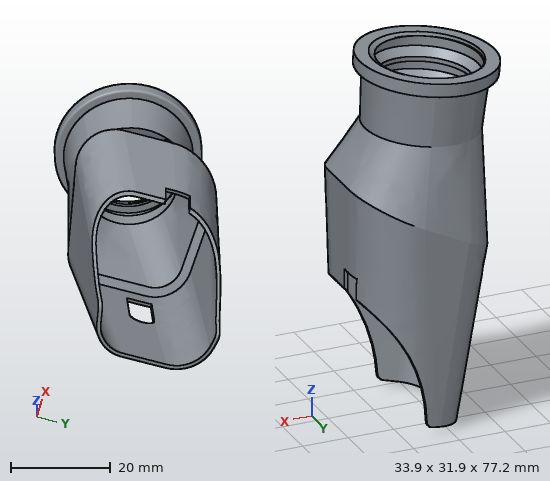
import cadquery as cq
import math


NECK_TILT = 5.2
COLLAR_DIAMETER = 29.6
COLLAR_HEIGHT = 3.05
COLLAR_FILLET = 0.5
NECK_TOP_RADIUS = 13.05
NECK_BOTTOM_RADIUS = 12.35
NECK_DEPTH = 14.8

BORE_RADIUS = 20 / 2
GROOVE_RADIUS = 11.5
GROOVE_1_TOP = 0.8
GROOVE_1_BOTTOM = 4.7
GROOVE_2_TOP = 5.7
GROOVE_2_BOTTOM = 9.8
GROOVE_CONE_HEIGHT = 1.8
LIP_RADIUS = 9.6
LIP_THICKNESS = 0.4
ENTRY_TOP_RADIUS = 11.8
ENTRY_BOTTOM_RADIUS = 11.1
ENTRY_BOTTOM_OFFSET = (-0.7, -0.2)

LOWER_WALL = 0.8
UPPER_WALL = 2.7
UPPER_TILT = 27.3
UPPER_EDGE_Z = -39.4
UPPER_CORNERS = [(18.82, 16.75), (-9.6, 14.1), (-9.6, -10.2), (18.82, -15.8)]
LOWER_TILT = 11.9
LOWER_EDGE_Z = -75.9
LOWER_CORNERS = [(19.45, 20.0), (-2.0, 15.2), (-2.0, -6.5), (19.5, -10.7)]
CORNER_RADII = [12.0, 8.3, 6.9, 7.8]
NECK_SEAM_ANGLE = 30.5
ARC_COUNT = 8
ARC_STEP = 360 / ARC_COUNT

CUT_FOOT = (7.45, -73.1)
CUT_HEAD = (19.15, -47.3)
TOE_FILLET = 1.3

SLOT_WIDTH = 5.2
SLOT_CENTRE_Y = 4.8
SLOT_TOP = -43.0
SLOT_BOTTOM = -54.7

CLEARANCE = 60.0


def tilted_plane(origin, tilt):
    angle = math.radians(tilt)
    x_dir = (math.cos(angle), 0, math.sin(angle))
    normal = (-math.sin(angle), 0, math.cos(angle))
    return cq.Plane(origin=origin, xDir=x_dir, normal=normal)


def neck_plane(depth):
    angle = math.radians(NECK_TILT)
    return tilted_plane((depth * math.sin(angle), 0, -depth * math.cos(angle)), NECK_TILT)


def arc_wire(plane, radius):
    """Circle split into eight arcs that pair with the eight edges of a body section."""
    def point(degrees):
        angle = math.radians(degrees)
        return plane.toWorldCoords((radius * math.cos(angle), radius * math.sin(angle), 0))

    starts = [NECK_SEAM_ANGLE + ARC_STEP * i for i in range(ARC_COUNT)]
    arcs = [cq.Edge.makeThreePointArc(point(a), point(a + ARC_STEP / 2), point(a + ARC_STEP)) for a in starts]
    return cq.Wire.assembleEdges(arcs)


def section_wire(corners, tilt, edge_z, inset):
    """Rounded four-sided loop on a tilted plane; corners are given in plan (X, Y).

    The inset moves the sides inward in the tilted plane.
    """
    edge_x = corners[1][0]
    plane = tilted_plane((edge_x, 0, edge_z), tilt)
    stretch = 1 / math.cos(math.radians(tilt))
    points = [cq.Vector((x - edge_x) * stretch, y, 0) for x, y in corners]
    count = len(points)
    sides = [(points[(i + 1) % count] - points[i]).normalized() for i in range(count)]
    joints = []
    for i, radius in enumerate(CORNER_RADII):
        incoming = sides[i - 1]
        outgoing = sides[i]
        half_turn = incoming.getAngle(outgoing) / 2
        bisector = (outgoing - incoming).normalized()
        corner = points[i] + bisector * (inset / math.cos(half_turn))
        round_radius = radius - inset
        setback = round_radius * math.tan(half_turn)
        sagitta_point = corner + bisector * (round_radius / math.cos(half_turn) - round_radius)
        joints.append((corner - incoming * setback, sagitta_point, corner + outgoing * setback))
    edges = []
    for i, (start, middle, end) in enumerate(joints):
        next_start = joints[(i + 1) % count][0]
        world = [plane.toWorldCoords(p) for p in (start, middle, end, next_start)]
        edges.append(cq.Edge.makeThreePointArc(*world[:3]))
        edges.append(cq.Edge.makeLine(*world[2:]))
    return cq.Wire.assembleEdges(edges)


def ruled(first, second):
    return cq.Workplane(obj=cq.Solid.makeLoft([first, second], True))


def upper_section(inset):
    return section_wire(UPPER_CORNERS, UPPER_TILT, UPPER_EDGE_Z, inset)


def make_transition(neck_radius, inset):
    """Blend from a circle at the neck bottom to the upper section of the body."""
    return ruled(arc_wire(neck_plane(NECK_DEPTH), neck_radius), upper_section(inset))


def make_body(inset):
    """Tapered length between the upper and lower sections."""
    lower = section_wire(LOWER_CORNERS, LOWER_TILT, LOWER_EDGE_Z, inset)
    return ruled(upper_section(inset), lower)


def make_neck():
    collar = cq.Workplane(neck_plane(COLLAR_HEIGHT)).circle(COLLAR_DIAMETER / 2).extrude(COLLAR_HEIGHT)
    collar = collar.faces("<Z").edges().fillet(COLLAR_FILLET)
    top = arc_wire(neck_plane(COLLAR_HEIGHT - COLLAR_FILLET), NECK_TOP_RADIUS)
    bottom = arc_wire(neck_plane(NECK_DEPTH), NECK_BOTTOM_RADIUS)
    return collar.union(ruled(top, bottom))


def make_bore():
    outline = [
        (0, 0),
        (BORE_RADIUS, 0),
        (BORE_RADIUS, -GROOVE_1_TOP),
        (GROOVE_RADIUS, -GROOVE_1_TOP),
        (GROOVE_RADIUS, -GROOVE_1_BOTTOM + GROOVE_CONE_HEIGHT),
        (BORE_RADIUS, -GROOVE_1_BOTTOM),
        (BORE_RADIUS, -GROOVE_2_TOP),
        (GROOVE_RADIUS, -GROOVE_2_TOP),
        (GROOVE_RADIUS, -GROOVE_2_BOTTOM + GROOVE_CONE_HEIGHT),
        (BORE_RADIUS, -GROOVE_2_BOTTOM),
        (BORE_RADIUS, -NECK_DEPTH + LIP_THICKNESS),
        (LIP_RADIUS, -NECK_DEPTH + LIP_THICKNESS),
        (LIP_RADIUS, -NECK_DEPTH),
        (0, -NECK_DEPTH),
    ]
    section = neck_plane(0).rotated((90, 0, 0))
    bore = cq.Workplane(section).polyline(outline).close().revolve(360, (0, 0), (0, 1))
    entry = (
        cq.Workplane(neck_plane(0)).circle(ENTRY_TOP_RADIUS)
        .workplane(offset=-GROOVE_1_TOP).center(*ENTRY_BOTTOM_OFFSET).circle(ENTRY_BOTTOM_RADIUS)
        .loft(ruled=True)
    )
    return bore.union(entry)


def make_concave_cut():
    run = CUT_HEAD[0] - CUT_FOOT[0]
    rise = CUT_HEAD[1] - CUT_FOOT[1]
    radius = (run ** 2 + rise ** 2) / (2 * run)
    cutter = cq.Workplane("XZ").center(CUT_FOOT[0] + radius, CUT_FOOT[1]).circle(radius)
    return cutter.extrude(CLEARANCE, both=True)


def make_slot():
    radius = SLOT_WIDTH / 2
    profile = (
        cq.Workplane("YZ").moveTo(SLOT_CENTRE_Y - radius, SLOT_TOP)
        .lineTo(SLOT_CENTRE_Y + radius, SLOT_TOP)
        .lineTo(SLOT_CENTRE_Y + radius, SLOT_BOTTOM + radius)
        .threePointArc((SLOT_CENTRE_Y, SLOT_BOTTOM), (SLOT_CENTRE_Y - radius, SLOT_BOTTOM + radius))
        .close()
    )
    return profile.extrude(CLEARANCE, both=True)


def toe_edges(part):
    """Edges along Y where the concave cut meets the bottom face."""
    low = (CUT_FOOT[0] - TOE_FILLET, -CLEARANCE, CUT_FOOT[1] - TOE_FILLET)
    high = (CUT_FOOT[0] + TOE_FILLET, CLEARANCE, CUT_FOOT[1] + TOE_FILLET)
    return part.edges(cq.selectors.BoxSelector(low, high)).edges("|Y")


outside = make_neck().union(make_transition(NECK_BOTTOM_RADIUS, 0)).union(make_body(0))
shell = outside.cut(make_bore())
shell = shell.cut(make_transition(LIP_RADIUS, UPPER_WALL)).cut(make_body(LOWER_WALL))
shell = shell.cut(make_concave_cut()).cut(make_slot())
result = toe_edges(shell).fillet(TOE_FILLET)